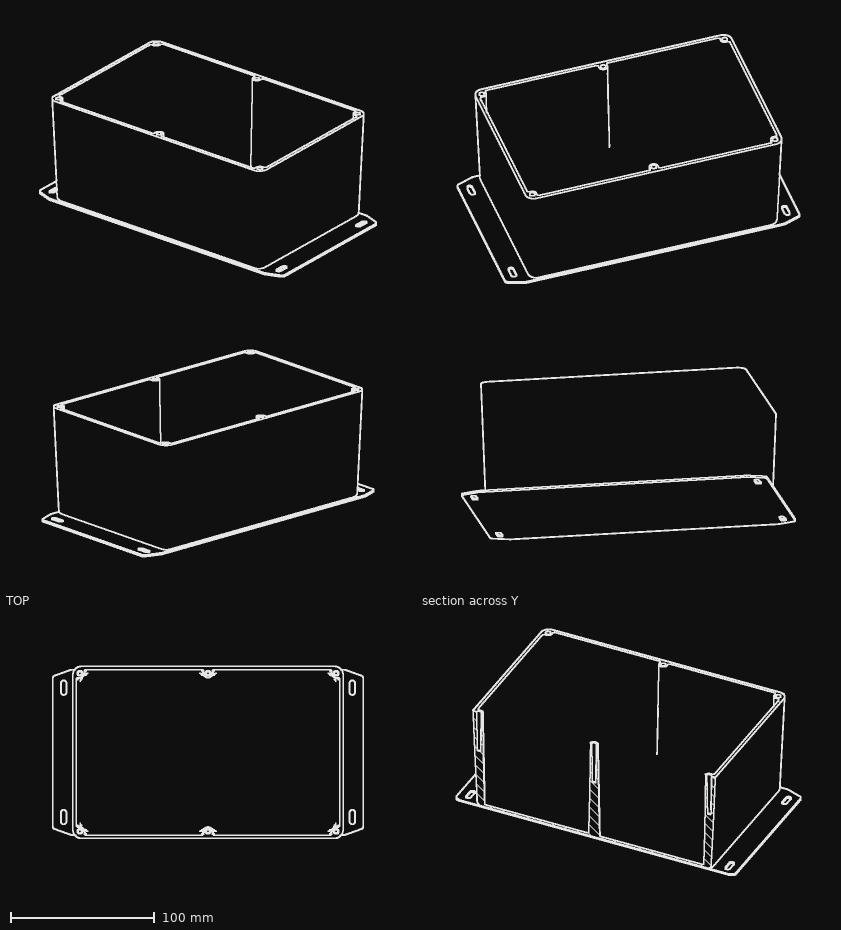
import cadquery as cq
import math

plate_length = 216.6
plate_width = 115.2
plate_thickness = 1.3
plate_shoulder_length = 190.6
ear_end_width = 106.0
ear_corner_radius = 2.4
slot_length = 10.0
slot_width = 3.7
slot_spacing_x = 201.0
slot_spacing_y = 90.1

overall_height = 79.5
rim_length = 188.3
rim_width = 120.0
rim_thickness = 2.4
floor_thickness = 2.0
outer_draft = 1.9
cavity_draft = 2.0
outer_corner_radius = 6.0
base_edge_radius = 2.2
boss_joint_radius = 1.5
cavity_floor_radius = 0.6

boss_spacing_x = 178.5
boss_spacing_y = 110.0
boss_rim_radius = 3.0
boss_draft = 1.0
joint_margin = 0.5
screw_hole_diameter = 3.7
screw_hole_draft = 1.0
screw_hole_depth = 32.5

housing_height = overall_height - plate_thickness
floor_height = plate_thickness + floor_thickness
cavity_depth = overall_height - floor_height
boss_floor_radius = boss_rim_radius + cavity_depth * math.tan(math.radians(boss_draft))
corner_x = boss_spacing_x / 2
boss_y = boss_spacing_y / 2


def make_plate():
    """Flat plate whose ears taper towards the ends and carry four slots."""
    end_x = plate_length / 2
    shoulder_x = plate_shoulder_length / 2
    end_y = ear_end_width / 2
    side_y = plate_width / 2
    outline = [
        (-end_x, -end_y),
        (-shoulder_x, -side_y),
        (shoulder_x, -side_y),
        (end_x, -end_y),
        (end_x, end_y),
        (shoulder_x, side_y),
        (-shoulder_x, side_y),
        (-end_x, end_y),
    ]
    blank = cq.Workplane("XY").polyline(outline).close().extrude(plate_thickness)
    blank = blank.edges("|Z and (<X or >X)").fillet(ear_corner_radius)
    slots = (
        cq.Workplane("XY")
        .rarray(slot_spacing_x, slot_spacing_y, 2, 2)
        .slot2D(slot_length, slot_width, 90)
        .extrude(plate_thickness)
    )
    return blank.cut(slots)


def make_outer_block():
    """Solid drafted block, widest at the rim, with rounded corners and base edge."""
    block = (
        cq.Workplane("XY", origin=(0, 0, overall_height))
        .rect(rim_length, rim_width)
        .extrude(-housing_height, taper=outer_draft)
    )
    block = block.edges("not #Z").fillet(outer_corner_radius)
    return block.faces("<Z").edges().fillet(base_edge_radius)


def make_boss(x, y, seam_angle):
    """Drafted round post. Its seam is turned outward, so that it lies inside the wall."""
    post = (
        cq.Workplane("XY", origin=(x, y, floor_height))
        .circle(boss_floor_radius)
        .extrude(cavity_depth, taper=boss_draft)
    )
    return post.rotate((x, y, 0), (x, y, 1), seam_angle)


def make_corner_filler(side_x, side_y):
    """Block from the axis of a corner boss outward, closing the gap behind the boss."""
    return (
        cq.Workplane("XY", origin=(0, 0, floor_height))
        .moveTo(side_x * corner_x, side_y * boss_y)
        .lineTo(side_x * rim_length / 2, side_y * boss_y)
        .lineTo(side_x * rim_length / 2, side_y * rim_width / 2)
        .lineTo(side_x * corner_x, side_y * rim_width / 2)
        .close()
        .extrude(cavity_depth)
    )


def box_around(half_x, half_y, middle_height):
    """Selector for edges centred near the middle height, inside the given half sizes."""
    half_z = cavity_depth / 4
    return cq.selectors.BoxSelector(
        (-half_x, -half_y, middle_height - half_z),
        (half_x, half_y, middle_height + half_z),
    )


def make_cavity():
    """Drafted hollow of the box, less the six bosses, with filleted inside edges."""
    cavity = (
        cq.Workplane("XY", origin=(0, 0, overall_height))
        .rect(rim_length - 2 * rim_thickness, rim_width - 2 * rim_thickness)
        .extrude(-cavity_depth, taper=cavity_draft)
    )
    for side_y in (-1, 1):
        cavity = cavity.cut(make_boss(0, side_y * boss_y, 90 * side_y))
        for side_x in (-1, 1):
            outward_angle = math.degrees(math.atan2(side_y, side_x))
            cavity = cavity.cut(make_boss(side_x * corner_x, side_y * boss_y, outward_angle))
            cavity = cavity.cut(make_corner_filler(side_x, side_y))
    middle_height = floor_height + cavity_depth / 2
    wall_joints = box_around(rim_length / 2, rim_width / 2, middle_height) - box_around(
        corner_x + joint_margin, boss_y + joint_margin, middle_height
    )
    cavity = cavity.edges(wall_joints).fillet(boss_joint_radius)
    return cavity.faces("<Z").edges().fillet(cavity_floor_radius)


def make_screw_holes():
    """Blind holes narrowing downward from the rim, one in each boss."""
    return (
        cq.Workplane("XY", origin=(0, 0, overall_height))
        .rarray(boss_spacing_x / 2, boss_spacing_y, 3, 2)
        .circle(screw_hole_diameter / 2)
        .extrude(-screw_hole_depth, taper=screw_hole_draft)
    )


def make_housing():
    return make_outer_block().cut(make_cavity()).cut(make_screw_holes())


mounting_plate = make_plate()
housing = make_housing()

result = cq.Compound.makeCompound([mounting_plate.val(), housing.val()])